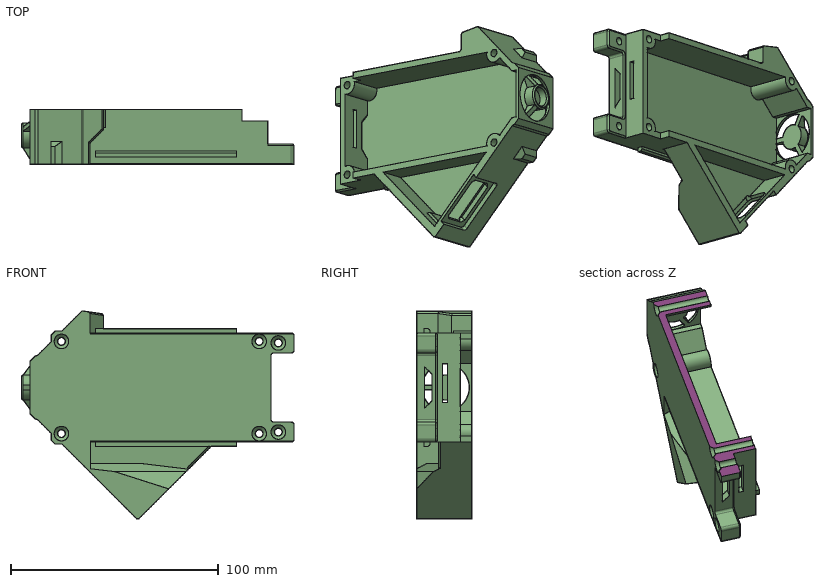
import cadquery as cq
import math


DEPTH = 26.5
HALF_HEIGHT = 26.25
NOSE_HALF = 12.65
NOSE_CHAMFER_END = (2.45, 15.1)
SHOULDER_RISE = 11.75
SHOULDER_START_X = 3.95
FRONT_EDGE_CHAMFER = 0.4

ROOF_END_X = 102.2
BLOCK_END_X = 114.6
BLOCK_DEPTH = 21.0
FLANGE_END_X = 116.1
FLANGE_DEPTH = 9.9
TAB_END_X = 127.22
TAB_INNER_Z = 16.6
TAB_OUTER_RADIUS = 1.4
TAB_INNER_RADIUS = 1.2
TAB_REAR_CHAMFER = 0.8

FIN_TOP_Z = 36.85
FIN_FLAT_END_X = 25.8
FIN_END_X = 35.5
FIN_SLOPE = 8.5
FIN_EDGE_CHAMFER = 0.75
FIN_FOOT = 0.9
FIN_STEP_X = 28.9
FIN_STEP_Y = 10.2

GRIP_TIP_X = 51.95
GRIP_TIP_Z = FIN_TOP_Z - 100.05
GRIP_TIP_HALF_FLAT = 0.5
GRIP_WALL = 4.0
GRIP_FLOOR_Y = 13.1
LEDGE_END_Y = 21.0
LEDGE_TOP_Z = -49.0
LEDGE_HEIGHT = 1.4

RECESS_X = 29.15
RECESS_MAX_Y = 10.6
RECESS_EDGE_Z = -39.1
CREASE_X = 40.85
CREASE_Z = -40.5
RAMP_SLOPE = 0.233
UPPER_FACE_SLOPE = 1.947
LOWER_FACE_SLOPE = 0.729
SHELF_Z = -36.7
RECESS_EDGE_CHAMFER = 0.9

POCKET_TOP_Z = -37.9
POCKET_BOTTOM_Z = -57.9
POCKET_FLOOR = 2.44
POCKET_START_Y = 9.9
POCKET_RADIUS = 1.3
WINDOW_MARGIN = 2.5
WINDOW_START_Y = 12.0
WINDOW_END_Y = 24.3
WINDOW_CHAMFER = 1.6

RAIL_START_X = 31.5
RAIL_END_X = 99.5
RAIL_START_Y = 3.6
RAIL_END_Y = 6.4
RAIL_HEIGHT = 2.1
RAIL_CHAMFER = 0.9

SCREW_DIAMETER = 3.6
SCREW_HEAD_DIAMETER = 7.0
SCREW_HEAD_ANGLE = 90
FRONT_SCREW_X = 15.2
REAR_SCREW_X = 110.4
SCREW_Z = 22.2
TAB_SCREW_X = 119.6
TAB_SCREW_Z = 21.45
POST_DIAMETER = 9.0

BOSS_LEFT_X = 10.2
BOSS_TOP_Z = 27.3
BOSS_CHAMFER = 2.0
BOSS_DEPTH = 11.1

WALL = 3.0
NOSE_WALL = 1.5
NOSE_CAVITY_HALF = 11.6
FLOOR_Y = 3.8
REAR_WALL = 3.0
CHANNEL_END_Y = 7.3
CHANNEL_TOP_HALF = 6.4
CHANNEL_BEVEL = 0.9
SLOT_START_Y = 12.5
SLOT_END_Y = 14.7
SLOT_BOTTOM_Z = -7.2

NOSE_CENTER_Y = 13.9
OPENING_RADIUS = 11.35
RING_TIP_X = -4.1
RING_OUTER_RADIUS = 6.1
RING_CHAMFER = 0.7
RING_BORE_DIAMETER = 9.0
RING_BACK_X = 1.5
RING_BORE_DEPTH = 4.6
SPOKE_WIDTH = 2.4
SPOKE_TIP_X = -3.3
SPOKE_OVERLAP = 0.3
SPOKE_ANGLES = (90, -30, -150)


def prism(points, y_start, y_end):
    """Extrude an (x, z) outline from y_start to y_end."""
    plane = cq.Workplane("XZ", origin=(0, y_start, 0))
    return plane.polyline(points).close().extrude(y_start - y_end)


def box(x_range, y_range, z_range):
    """Axis-aligned box from three (low, high) pairs."""
    lows, highs = zip(x_range, y_range, z_range)
    size = [high - low for low, high in zip(lows, highs)]
    return cq.Workplane("XY").box(*size, centered=False).translate(lows)


def cylinder_y(diameter, x, z, y_start, y_end):
    plane = cq.Workplane("XZ", origin=(x, y_start, z))
    return plane.circle(diameter / 2).extrude(y_start - y_end)


def mirrored_z(shape):
    return shape.union(shape.mirror("XY"))


def grip_face_x(z):
    """X of the grip's front 45 degree face at height z."""
    return GRIP_TIP_X - GRIP_TIP_HALF_FLAT - (z - GRIP_TIP_Z)


def grip_rear_x(z):
    """X of the grip's rear 45 degree face at height z."""
    return GRIP_TIP_X + GRIP_TIP_HALF_FLAT + (z - GRIP_TIP_Z)


def make_nose():
    """Tapered front end of the housing, symmetric about Z = 0."""
    upper = [
        (0, NOSE_HALF),
        NOSE_CHAMFER_END,
        (SHOULDER_START_X, SHOULDER_START_X + SHOULDER_RISE),
        (HALF_HEIGHT - SHOULDER_RISE, HALF_HEIGHT),
        (FIN_STEP_X, HALF_HEIGHT),
    ]
    lower = [(x, -z) for x, z in reversed(upper)]
    return prism(upper + lower, 0, DEPTH)


def make_housing():
    """Long box, stepped down in depth towards its rear end."""
    height = (-HALF_HEIGHT, HALF_HEIGHT)
    housing = box((FIN_STEP_X, ROOF_END_X), (0, DEPTH), height)
    housing = housing.union(box((ROOF_END_X, BLOCK_END_X), (0, BLOCK_DEPTH), height))
    return housing.union(make_flange())


def make_flange():
    """Rear flange with a notch that leaves two rounded tabs."""
    flange = box((BLOCK_END_X, TAB_END_X), (0, FLANGE_DEPTH), (-HALF_HEIGHT, HALF_HEIGHT))
    notch = box((FLANGE_END_X, 2 * TAB_END_X), (0, DEPTH), (-TAB_INNER_Z, TAB_INNER_Z))
    notch = notch.edges("|Y and <X").fillet(TAB_INNER_RADIUS)
    flange = flange.cut(notch).edges("|Y and >X").fillet(TAB_OUTER_RADIUS)
    return flange.faces(">Y").edges("not <X").chamfer(TAB_REAR_CHAMFER)


def cut_front_edges(body):
    """Small chamfer along the cover-side edges of the long housing."""
    c = FRONT_EDGE_CHAMFER
    triangle = [(0, HALF_HEIGHT), (0, HALF_HEIGHT - c), (c, HALF_HEIGHT)]
    length = TAB_END_X - RECESS_X
    cutter = cq.Workplane("YZ", origin=(RECESS_X, 0, 0)).polyline(triangle).close().extrude(length)
    return body.cut(mirrored_z(cutter))


def make_fin():
    """Upper fin, cut back in front by a 45 degree step."""
    drop = (FIN_END_X - FIN_FLAT_END_X) * math.tan(math.radians(FIN_SLOPE))
    side = prism(
        [
            (HALF_HEIGHT - SHOULDER_RISE, HALF_HEIGHT),
            (FIN_TOP_Z - SHOULDER_RISE, FIN_TOP_Z),
            (FIN_FLAT_END_X, FIN_TOP_Z),
            (FIN_END_X, FIN_TOP_Z - drop),
            (FIN_END_X, HALF_HEIGHT),
        ],
        0,
        DEPTH,
    )
    step_run = FIN_END_X - FIN_STEP_X
    plan = [
        (0, 0),
        (FIN_STEP_X, 0),
        (FIN_STEP_X, FIN_STEP_Y),
        (FIN_END_X, FIN_STEP_Y + step_run),
        (FIN_END_X, DEPTH),
        (0, DEPTH),
    ]
    fin = side.intersect(cq.Workplane("XY").polyline(plan).close().extrude(FIN_TOP_Z))
    end_z = FIN_TOP_Z - drop
    top_edges = fin.edges(cq.selectors.BoxSelector(
        (FIN_STEP_X - 1, -1, end_z - 1),
        (FIN_END_X + 1, DEPTH - 1, FIN_TOP_Z),
    ))
    return top_edges.chamfer(FIN_EDGE_CHAMFER).union(make_fin_foot())


def make_fin_foot():
    foot = [
        (FIN_END_X, HALF_HEIGHT),
        (FIN_END_X, HALF_HEIGHT + FIN_FOOT),
        (FIN_END_X + FIN_FOOT, HALF_HEIGHT),
    ]
    return prism(foot, FIN_STEP_Y + FIN_END_X - FIN_STEP_X + FIN_FOOT, DEPTH)


def make_grip():
    """Triangular grip below the housing."""
    top = -HALF_HEIGHT
    return prism(
        [
            (grip_face_x(top), top),
            (GRIP_TIP_X - GRIP_TIP_HALF_FLAT, GRIP_TIP_Z),
            (GRIP_TIP_X + GRIP_TIP_HALF_FLAT, GRIP_TIP_Z),
            (grip_rear_x(top), top),
        ],
        0,
        DEPTH,
    )


def ramp_cutter(depth_at_corner, z_zero, z_slope):
    """Solid in front of the plane y = depth + RAMP_SLOPE * (x - RECESS_X) + z_slope * (z - z_zero)."""
    x_end = grip_rear_x(-HALF_HEIGHT)
    z_low = GRIP_TIP_Z
    lowest_y = 3 * GRIP_TIP_Z * z_slope

    def section(x):
        base = depth_at_corner + RAMP_SLOPE * (x - RECESS_X)
        y_low = base + z_slope * (z_low - z_zero)
        y_high = base + z_slope * (-HALF_HEIGHT - z_zero)
        corners = [
            (x, lowest_y, z_low),
            (x, y_low, z_low),
            (x, y_high, -HALF_HEIGHT),
            (x, lowest_y, -HALF_HEIGHT),
        ]
        return cq.Wire.makePolygon([cq.Vector(*corner) for corner in corners], close=True)

    return cq.Workplane(cq.Solid.makeLoft([section(RECESS_X), section(x_end)], True))


def make_grip_recess():
    """Faceted recess in the cover side of the grip, deepening towards the rear."""
    depth_below_crease = -RAMP_SLOPE * (CREASE_X - RECESS_X)
    upper_face = ramp_cutter(0, RECESS_EDGE_Z, UPPER_FACE_SLOPE)
    lower_face = ramp_cutter(depth_below_crease, CREASE_Z, LOWER_FACE_SLOPE)
    depth = (-1, RECESS_MAX_Y)
    above_shelf = box((RECESS_X, TAB_END_X), depth, (SHELF_Z, -HALF_HEIGHT))
    limit = box((RECESS_X, TAB_END_X), depth, (GRIP_TIP_Z, -HALF_HEIGHT))
    return upper_face.union(lower_face).union(above_shelf).intersect(limit)


def cut_recess_edge(body):
    """Chamfer between the recess floor and the rear face of the grip."""
    up_the_face = cq.Vector(1, 0, 1)
    out_of_face = cq.Vector(1, 0, -1)
    corner = (grip_rear_x(RECESS_EDGE_Z), RECESS_MAX_Y, RECESS_EDGE_Z)
    triangle = [(0, 0), (-RECESS_EDGE_CHAMFER, 0), (0, RECESS_EDGE_CHAMFER)]
    length = (-HALF_HEIGHT - RECESS_EDGE_Z) * math.sqrt(2)
    cutter_plane = cq.Workplane(cq.Plane(corner, out_of_face, up_the_face))
    return body.cut(cutter_plane.polyline(triangle).close().extrude(length))


def make_boss():
    """Upper front screw boss; its inner end slopes back into the 45 degree shoulder."""
    right_x = BOSS_TOP_Z - SHOULDER_RISE
    outline = [
        (BOSS_LEFT_X, BOSS_LEFT_X + SHOULDER_RISE),
        (BOSS_LEFT_X, BOSS_TOP_Z - BOSS_CHAMFER),
        (BOSS_LEFT_X + BOSS_CHAMFER, BOSS_TOP_Z),
        (right_x, BOSS_TOP_Z),
    ]
    boss = prism(outline, 0, BOSS_DEPTH)
    off_shoulder = cq.Vector(-1, 0, 1)
    along_shoulder = cq.Vector(-1, 0, -1)
    plane = cq.Plane((0, 0, SHOULDER_RISE), off_shoulder, along_shoulder)
    profile = [(-1, 0), (-1, BOSS_DEPTH + 1), (BOSS_DEPTH, 0)]
    wedge = cq.Workplane(plane).polyline(profile).close().extrude(2 * BOSS_TOP_Z, both=True)
    return boss.intersect(wedge)


def make_rail():
    """Upper side rail with a chamfered rear edge."""
    top = HALF_HEIGHT + RAIL_HEIGHT
    profile = [
        (RAIL_START_Y, HALF_HEIGHT),
        (RAIL_START_Y, top),
        (RAIL_END_Y - RAIL_CHAMFER, top),
        (RAIL_END_Y, top - RAIL_CHAMFER),
        (RAIL_END_Y, HALF_HEIGHT),
    ]
    plane = cq.Workplane("YZ", origin=(RAIL_START_X, 0, 0))
    return plane.polyline(profile).close().extrude(RAIL_END_X - RAIL_START_X)


def make_cavity():
    """Housing interior, open on the +Y side, plus the grip interior."""
    half = HALF_HEIGHT - WALL
    shoulder = SHOULDER_RISE - WALL * math.sqrt(2)
    inner_end = BLOCK_END_X - REAR_WALL
    upper = [
        (NOSE_WALL, NOSE_CAVITY_HALF),
        (NOSE_CAVITY_HALF - shoulder, NOSE_CAVITY_HALF),
        (half - shoulder, half),
        (inner_end, half),
    ]
    lower = [(x, -z) for x, z in reversed(upper)]
    main = prism(upper + lower, FLOOR_Y, DEPTH)
    for x in (FRONT_SCREW_X, REAR_SCREW_X):
        for z in (-SCREW_Z, SCREW_Z):
            main = main.cut(cylinder_y(POST_DIAMETER, x, z, 0, DEPTH))
    return main.union(make_grip_cavity())


def make_grip_cavity():
    inset = GRIP_WALL * math.sqrt(2)
    top = -HALF_HEIGHT
    apex_z = GRIP_TIP_Z - GRIP_TIP_HALF_FLAT + inset
    apex = (GRIP_TIP_X, apex_z)
    outline = [(grip_face_x(top) + inset, top), apex, (grip_rear_x(top) - inset, top)]
    cavity = prism(outline, GRIP_FLOOR_Y, DEPTH)
    ledge_run = LEDGE_TOP_Z - apex_z
    rise = LEDGE_HEIGHT * math.sqrt(2)
    ledge = prism(
        [
            apex,
            (GRIP_TIP_X + ledge_run, LEDGE_TOP_Z),
            (GRIP_TIP_X + ledge_run - rise, LEDGE_TOP_Z),
            (GRIP_TIP_X - rise, apex_z),
        ],
        GRIP_FLOOR_Y,
        LEDGE_END_Y,
    )
    return cavity.cut(ledge)


def make_rear_openings():
    """Low channel and upright slot through the rear wall."""
    wall_x = BLOCK_END_X - REAR_WALL
    bottom_half = CHANNEL_TOP_HALF + CHANNEL_END_Y - FLOOR_Y
    outline = [
        (CHANNEL_END_Y, -CHANNEL_TOP_HALF),
        (CHANNEL_END_Y, CHANNEL_TOP_HALF),
        (FLOOR_Y, bottom_half),
        (FLOOR_Y, -bottom_half),
    ]
    bevel_plane = cq.Workplane("YZ", origin=(wall_x + CHANNEL_BEVEL, 0, 0))
    bevel = bevel_plane.polyline(outline).close().extrude(-CHANNEL_BEVEL, taper=-45)
    bevel = bevel.intersect(box((0, TAB_END_X), (FLOOR_Y, DEPTH), (-HALF_HEIGHT, HALF_HEIGHT)))
    channel = bevel_plane.polyline(outline).close().extrude(TAB_END_X - wall_x).union(bevel)
    slot_range = (SLOT_START_Y, SLOT_END_Y)
    slot = box((wall_x, BLOCK_END_X), slot_range, (SLOT_BOTTOM_Z, NOSE_CAVITY_HALF))
    return channel.union(slot)


def grip_face_block(z_top, z_bottom, y_range, depth):
    """Block sunk square into the grip's front face, from z_top to z_bottom on that face."""
    shift = depth / math.sqrt(2)
    outline = [
        (grip_face_x(z_top), z_top),
        (grip_face_x(z_bottom), z_bottom),
        (grip_face_x(z_bottom) + shift, z_bottom + shift),
        (grip_face_x(z_top) + shift, z_top + shift),
    ]
    return prism(outline, *y_range)


def make_grip_window():
    """Shallow pocket on the grip's front face with a window through its floor."""
    pocket_range = (POCKET_START_Y, DEPTH)
    pocket = grip_face_block(POCKET_TOP_Z, POCKET_BOTTOM_Z, pocket_range, POCKET_FLOOR)
    into_face = cq.Vector(1, 0, 1)
    pocket = pocket.edges(cq.selectors.ParallelDirSelector(into_face)).edges("<Y").fillet(POCKET_RADIUS)
    margin = WINDOW_MARGIN / math.sqrt(2)
    window = grip_face_block(
        POCKET_TOP_Z - margin,
        POCKET_BOTTOM_Z + margin,
        (WINDOW_START_Y, WINDOW_END_Y),
        GRIP_WALL + 1,
    )
    window = window.edges(cq.selectors.ParallelDirSelector(into_face)).chamfer(WINDOW_CHAMFER)
    return pocket.union(window)


def make_screw_holes():
    """Countersunk holes through the four corner posts and the two tabs."""
    places = [
        (FRONT_SCREW_X, SCREW_Z),
        (REAR_SCREW_X, SCREW_Z),
        (TAB_SCREW_X, TAB_SCREW_Z),
    ]
    centers = [(x, sign * z) for x, z in places for sign in (-1, 1)]
    head_radius = SCREW_HEAD_DIAMETER / 2
    head_depth = head_radius / math.tan(math.radians(SCREW_HEAD_ANGLE / 2))
    cutters = cq.Workplane("XY")
    for x, z in centers:
        cutters = cutters.union(cylinder_y(SCREW_DIAMETER, x, z, 0, DEPTH))
        cone = cq.Solid.makeCone(head_radius, 0, head_depth, cq.Vector(x, 0, z), cq.Vector(0, 1, 0))
        cutters = cutters.union(cq.Workplane(cone))
    return cutters


def make_nose_opening():
    plane = cq.Workplane("YZ", origin=(0, NOSE_CENTER_Y, 0))
    return plane.circle(OPENING_RADIUS).extrude(NOSE_WALL)


def make_nose_ring():
    """Blind ring in the nose opening, carried by three tapered spokes."""
    ring = cq.Workplane("YZ", origin=(RING_TIP_X, NOSE_CENTER_Y, 0)).circle(RING_OUTER_RADIUS)
    ring = ring.extrude(RING_BACK_X - RING_TIP_X).faces("<X").chamfer(RING_CHAMFER)
    bore = cq.Workplane("YZ", origin=(RING_TIP_X, NOSE_CENTER_Y, 0)).circle(RING_BORE_DIAMETER / 2)
    bore = bore.extrude(RING_BORE_DEPTH)
    ring = ring.cut(bore).edges("<X").edges(cq.selectors.RadiusNthSelector(0)).chamfer(RING_CHAMFER)
    anchor_radius = OPENING_RADIUS + SPOKE_OVERLAP
    spoke_profile = [
        (SPOKE_TIP_X, 0),
        (SPOKE_TIP_X, RING_OUTER_RADIUS),
        (0, OPENING_RADIUS),
        (0, anchor_radius),
        (RING_BACK_X, anchor_radius),
        (RING_BACK_X, 0),
    ]
    for angle in SPOKE_ANGLES:
        spoke = prism(spoke_profile, -SPOKE_WIDTH / 2, SPOKE_WIDTH / 2)
        spoke = spoke.rotate((0, 0, 0), (1, 0, 0), angle)
        ring = ring.union(spoke.translate((0, NOSE_CENTER_Y, 0)))
    return ring.cut(bore)


body = make_nose().union(make_housing())
body = body.union(make_fin())
body = body.union(make_grip().cut(make_grip_recess()))
body = cut_recess_edge(body)
body = cut_front_edges(body)
body = body.union(mirrored_z(make_boss()))
body = body.union(mirrored_z(make_rail()))
body = body.cut(make_cavity())
body = body.cut(make_rear_openings())
body = body.cut(make_grip_window())
body = body.cut(make_nose_opening())
body = body.union(make_nose_ring())
result = body.cut(make_screw_holes())